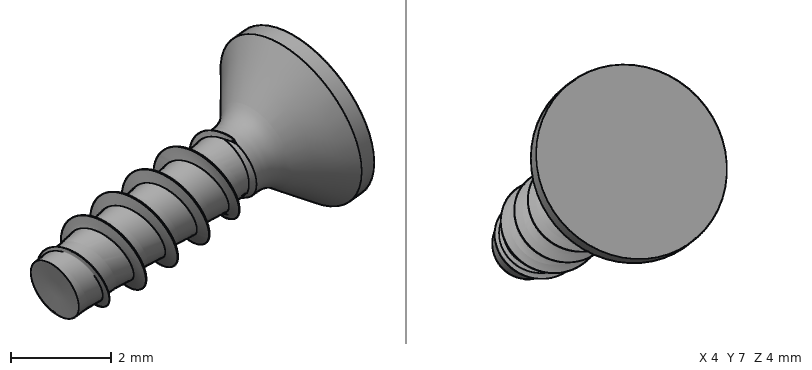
import math

import cadquery as cq


length = 7.0
head_radius = 2.0
head_rim_height = 0.355
shank_radius = 0.77
neck_fillet_radius = 0.8
countersink_angle = math.radians(45)
shank_end_depth = 2.09
shank_runout = 0.19

core_radius = 0.68
tip_rim_width = 0.045
tip_dish_depth = 0.04

pitch = 0.888
first_crest_depth = 1.882
crest_radius = 1.0
crest_width = 0.025
head_flank_reach = 0.166
head_flank_break_reach = 0.075
tip_flank_reach = 0.09
root_cone_reach = 0.62
root_cone_radius = 0.735
flank_break_radius = 0.845
root_overlap = 0.008
buried_radius = 0.5
start_turn = -0.05
full_start_turn = 1.25
full_end_turn = 4.25
end_turn = 5.75
start_crest_radius = 0.79
end_crest_radius = 0.69
spline_points_per_turn = 24


def make_body():
    """Revolve the head, neck, shank and bare core about the Y axis."""
    fillet_drop = neck_fillet_radius * (1 - math.cos(countersink_angle))
    neck_radius = shank_radius + fillet_drop
    neck_depth = head_rim_height + (head_radius - neck_radius) / math.tan(countersink_angle)
    neck_end_depth = neck_depth + neck_fillet_radius * math.sin(countersink_angle)
    mid_angle = countersink_angle / 2
    neck_mid_radius = shank_radius + neck_fillet_radius * (1 - math.cos(mid_angle))
    neck_mid_depth = neck_end_depth - neck_fillet_radius * math.sin(mid_angle)
    return (
        cq.Workplane("XY")
        .moveTo(0, 0)
        .lineTo(head_radius, 0)
        .lineTo(head_radius, -head_rim_height)
        .lineTo(neck_radius, -neck_depth)
        .threePointArc((neck_mid_radius, -neck_mid_depth), (shank_radius, -neck_end_depth))
        .lineTo(shank_radius, -shank_end_depth)
        .lineTo(core_radius, -shank_end_depth - shank_runout)
        .lineTo(core_radius, -length)
        .lineTo(0, -length)
        .close()
        .revolve(360, (0, 0, 0), (0, 1, 0))
    )


def crest_radius_at(turn):
    """Crest radius, rising over the first turn and fading over the last ones."""
    if turn < full_start_turn:
        share = (turn - start_turn) / (full_start_turn - start_turn)
        return start_crest_radius + share * (crest_radius - start_crest_radius)
    if turn > full_end_turn:
        share = (end_turn - turn) / (end_turn - full_end_turn)
        return end_crest_radius + share * (crest_radius - end_crest_radius)
    return crest_radius


def thread_profile(turn):
    """Corners (radius, offset toward the tip) of the thread section at a turn.

    The ridge keeps its shape and shrinks where the crest is low. The root cone
    shrinks with it only toward the tip.
    """
    crest = crest_radius_at(turn)
    share = (crest - core_radius) / (crest_radius - core_radius)
    break_radius = core_radius + share * (flank_break_radius - core_radius)
    root_share = share if turn > full_end_turn else 1
    root_rise = root_share * (root_cone_radius - core_radius)
    sunk_radius = core_radius - root_overlap
    return [
        (buried_radius, -share * head_flank_reach),
        (sunk_radius, -share * head_flank_reach),
        (break_radius, -share * head_flank_break_reach),
        (crest, -share * crest_width / 2),
        (crest, share * crest_width / 2),
        (core_radius + root_rise, share * tip_flank_reach),
        (sunk_radius, root_cone_reach),
        (buried_radius, root_cone_reach),
    ]


def thread_point(corner, turn):
    """Place one corner of the thread section in space."""
    radius, offset = corner
    angle = 2 * math.pi * turn
    depth = first_crest_depth + pitch * turn + offset
    return cq.Vector(radius * math.cos(angle), -depth, radius * math.sin(angle))


def end_face(turn):
    """Flat face closing the thread at one end."""
    points = [thread_point(corner, turn) for corner in thread_profile(turn)]
    return cq.Face.makeFromWires(cq.Wire.makePolygon(points, close=True))


def make_thread():
    """Solid thread, with ruled faces between the curves its section corners follow."""
    steps = math.ceil((end_turn - start_turn) * spline_points_per_turn)
    turns = [start_turn + (end_turn - start_turn) * i / steps for i in range(steps + 1)]
    corner_count = len(thread_profile(start_turn))
    curves = [
        cq.Edge.makeSpline([thread_point(thread_profile(turn)[i], turn) for turn in turns])
        for i in range(corner_count)
    ]
    faces = [
        cq.Face.makeRuledSurface(curves[i], curves[(i + 1) % corner_count])
        for i in range(corner_count)
    ]
    faces += [end_face(start_turn), end_face(end_turn)]
    return cq.Solid.makeSolid(cq.Shell.makeShell(faces))


def make_thread_limit():
    """Cylinder that keeps the thread between the shank and the tip."""
    return (
        cq.Workplane("XZ", origin=(0, -shank_end_depth, 0))
        .circle(head_radius)
        .extrude(length - shank_end_depth)
    )


def make_tip_dish():
    """Shallow cone hollowing the tip face inside a narrow rim."""
    return (
        cq.Workplane("XY")
        .moveTo(0, -length)
        .lineTo(core_radius - tip_rim_width, -length)
        .lineTo(0, tip_dish_depth - length)
        .close()
        .revolve(360, (0, 0, 0), (0, 1, 0))
    )


thread = cq.Workplane(make_thread()).intersect(make_thread_limit())
result = make_body().union(thread).cut(make_tip_dish())